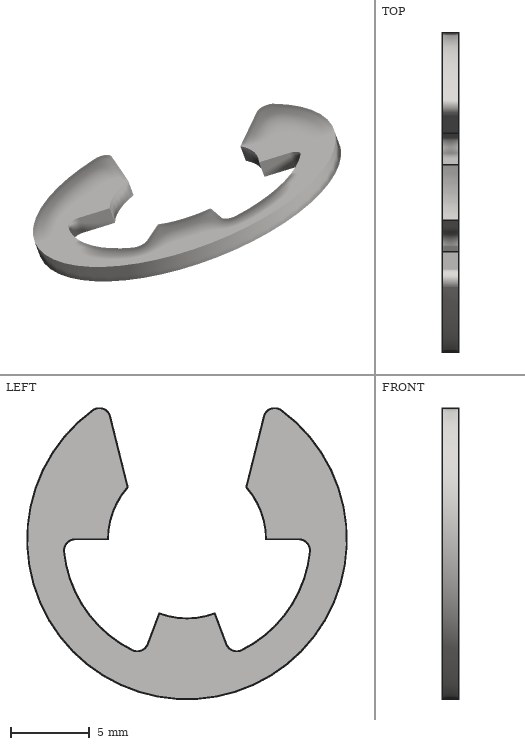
import cadquery as cq
import math


thickness = 1.07
outer_radius = 10.135
pocket_radius = 7.82
shaft_radius = 5.0
mouth_half_width = 3.75
mouth_flare_angle = 14.0
tooth_half_angle = 20.6
corner_radius = 0.71

cutter_reach = 2 * outer_radius


def disc(radius):
    """Disc of the clip's thickness, centred on the X axis."""
    return cq.Workplane("YZ").circle(radius).extrude(thickness / 2, both=True)


def plate(points):
    """Polygon of (Y, Z) corner points with the clip's thickness."""
    return cq.Workplane("YZ").polyline(points).close().extrude(thickness / 2, both=True)


def mouth():
    """Flared opening between the prongs, starting at the seat circle."""
    seat_z = math.sqrt(shaft_radius**2 - mouth_half_width**2)
    flare = cutter_reach * math.tan(math.radians(mouth_flare_angle))
    top_half_width = mouth_half_width + flare
    top_z = seat_z + cutter_reach
    return plate([
        (-mouth_half_width, seat_z),
        (mouth_half_width, seat_z),
        (top_half_width, top_z),
        (-top_half_width, top_z),
    ])


def relief_pocket():
    """Pocket on the +Y side: a sector from the Y axis to the bottom tooth, outer corners rounded."""
    flank_y = cutter_reach * math.tan(math.radians(tooth_half_angle))
    sector = plate([
        (0, 0),
        (cutter_reach, 0),
        (cutter_reach, -cutter_reach),
        (flank_y, -cutter_reach),
    ])
    pocket = disc(pocket_radius).intersect(sector)
    pocket = pocket.edges("|X").edges("<Z").fillet(corner_radius)
    return pocket.edges("|X").edges(">Y").fillet(corner_radius)


def open_ring():
    """Outer disc split by the mouth, with both prong tips rounded."""
    ring = disc(outer_radius).cut(mouth())
    return ring.edges("|X").edges(">Z").fillet(corner_radius)


def retaining_clip():
    """Open ring with the shaft seat and the two mirrored pockets removed."""
    pocket = relief_pocket()
    clip = open_ring().cut(disc(shaft_radius))
    for side_pocket in (pocket, pocket.mirror("XZ")):
        clip = clip.cut(side_pocket)
    return clip


result = retaining_clip()